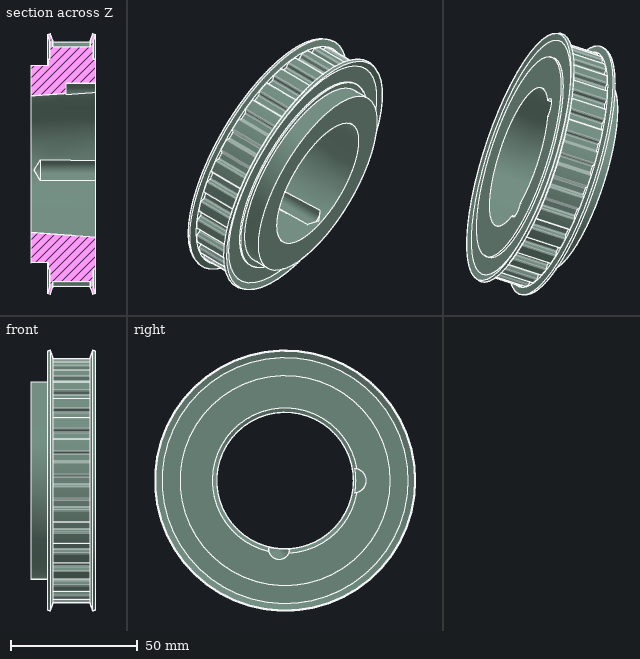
import cadquery as cq
import math

overall_length = 25.5
near_flange_start = 6.5
flange_middle = (near_flange_start + overall_length) / 2

hub_radius = 38.8
shoulder_radius = 41.3
shoulder_start = 6.8
narrow_bore_radius = 26.8
bore_half_angle = math.radians(4)
wide_bore_radius = narrow_bore_radius + overall_length * math.tan(bore_half_angle)

flange_radius = 51.4
flange_thickness = 1.2
flare_angle = math.radians(20)
flare_start_radius = 48.6
flare_offset = (flange_radius - flare_start_radius) * math.tan(flare_angle)

ring_start = near_flange_start + flange_thickness * math.cos(flare_angle) + flare_offset
ring_length = 2 * (flange_middle - ring_start)
tooth_count = 32
tip_radius = 48.2
groove_depth = 2.1
groove_bottom_width = 3.0
groove_half_angle = math.radians(20)
tooth_fillet = 0.4

screw_circle_radius = 27.0
side_screw_radius = 4.8
side_screw_depth = 11.6
side_screw_angle = 0
lower_screw_radius = 4.1
lower_screw_depth = 21.8
lower_screw_angle = math.radians(265)
drill_tip_half_angle = math.radians(59)


def revolve_about_x(outline):
    """Solid of revolution about X from (x, radius) points."""
    return cq.Workplane("XY").polyline(outline).close().revolve(360, (0, 0, 0), (1, 0, 0))


def disc(start, end, radius):
    """Cylinder on the X axis between two stations."""
    return cq.Workplane("YZ", origin=(start, 0, 0)).circle(radius).extrude(end - start)


def make_groove():
    """Cutter for one trapezoidal tooth groove, reaching past the tooth tips."""
    overshoot = 1.0
    cut_height = groove_depth + overshoot
    bottom_radius = tip_radius - groove_depth
    half_bottom = groove_bottom_width / 2
    half_top = half_bottom + cut_height * math.tan(groove_half_angle)
    return (
        cq.Workplane("YZ", origin=(ring_start, 0, 0))
        .polyline([
            (bottom_radius, -half_bottom),
            (bottom_radius + cut_height, -half_top),
            (bottom_radius + cut_height, half_top),
            (bottom_radius, half_bottom),
        ])
        .close()
        .extrude(ring_length)
        .edges("|X and <Y")
        .fillet(tooth_fillet)
    )


def is_tooth_tip(edge):
    center = edge.Center()
    return math.hypot(center.y, center.z) > tip_radius - groove_depth / 10


def make_tooth_ring():
    ring = disc(ring_start, ring_start + ring_length, tip_radius)
    groove = make_groove()
    for index in range(tooth_count):
        ring = ring.cut(groove.rotate((0, 0, 0), (1, 0, 0), index * 360 / tooth_count))
    return ring.edges("|X").filter(is_tooth_tip).fillet(tooth_fillet)


def make_near_flange():
    """Hub-side flange: a flat disc with a flared rim of the same thickness."""
    flat_x = ring_start - flange_thickness
    outer_rim_radius = flange_radius - flange_thickness * math.sin(flare_angle)
    outer_bend_radius = outer_rim_radius - (flat_x - near_flange_start) / math.tan(flare_angle)
    return revolve_about_x([
        (ring_start, 0),
        (ring_start, flare_start_radius),
        (ring_start - flare_offset, flange_radius),
        (near_flange_start, outer_rim_radius),
        (flat_x, outer_bend_radius),
        (flat_x, 0),
    ])


def make_bore():
    return revolve_about_x([
        (0, 0),
        (0, narrow_bore_radius),
        (overall_length, wide_bore_radius),
        (overall_length, 0),
    ])


def make_screw_recess(radius, depth, angle, tip_length=0.0):
    """Blind hole parallel to X from the wide bore end, with an optional drill tip."""
    bottom = overall_length - depth
    outline = [(overall_length, 0), (overall_length, radius), (bottom, radius), (bottom - tip_length, 0)]
    y = screw_circle_radius * math.cos(angle)
    z = screw_circle_radius * math.sin(angle)
    return revolve_about_x(outline).translate((0, y, z))


near_flange = make_near_flange()
far_flange = near_flange.mirror("YZ", (flange_middle, 0, 0))
lower_tip_length = lower_screw_radius / math.tan(drill_tip_half_angle)

result = (
    make_tooth_ring()
    .union(near_flange)
    .union(far_flange)
    .union(disc(shoulder_start, overall_length, shoulder_radius))
    .union(disc(0, shoulder_start, hub_radius))
    .cut(make_bore())
    .cut(make_screw_recess(side_screw_radius, side_screw_depth, side_screw_angle))
    .cut(make_screw_recess(lower_screw_radius, lower_screw_depth, lower_screw_angle, lower_tip_length))
)